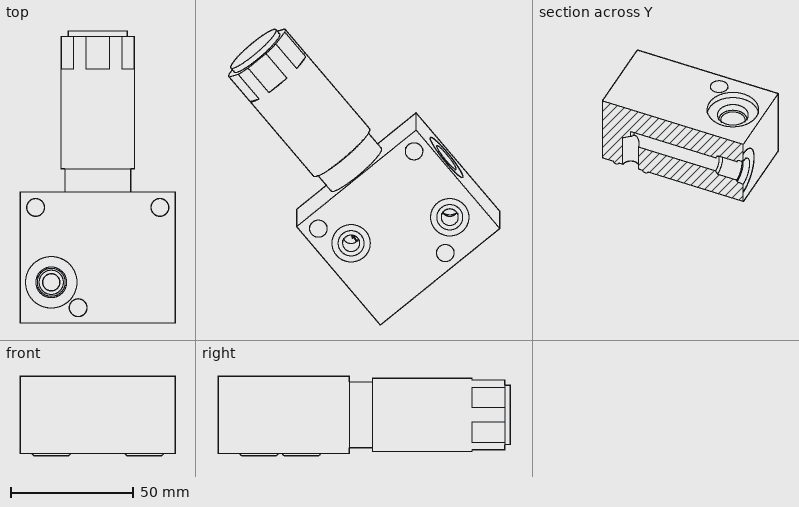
import cadquery as cq
import math

block_width = 63.5
block_length = 53.7
block_height = 31.7
top_z = block_height / 2
bottom_z = -block_height / 2
left_x = -block_width / 2

total_length = 119.6
neck_diameter = 27.0
neck_length = 9.5
sleeve_diameter = 30.1
cap_diameter = 24.3
cap_length = 2.3
sleeve_length = total_length - block_length - neck_length - cap_length
hex_across_flats = 28.6
hex_flat_length = 13.4
hex_sides = 6

mount_diameter = 7.2
mount_edge = 6.3
third_mount_x = -8.0
mount_points = [
    (left_x + mount_edge, -mount_edge),
    (-left_x - mount_edge, -mount_edge),
    (third_mount_x, mount_edge - block_length),
]

spotface_diameter = 21.0
seat_diameter = 12.6
taper_depth = 2.6
taper_angle = 12
lead_in_depth = 0.2
bore_diameter = 9.9
bore_depth = 11.5
passage_diameter = 6.9
drill_point_angle = 118
top_spotface_depth = 2.9
side_spotface_depth = 0.1

port_offset_x = 19.0
top_port_y = -37.0
side_port_y = -19.6
cross_passage_depth = 14.6

ring_radius = 6.6
ring_cord_radius = 1.3
ring_projection = 1.0


def drill_point_depth(drill_radius, end_radius=0.0):
    """Axial length of a drill point between two radii."""
    return (drill_radius - end_radius) / math.tan(math.radians(drill_point_angle / 2))


def plane_along_cartridge(start):
    """Workplane facing +Y at distance start from the block."""
    return cq.Workplane(cq.Plane(origin=(0, start, 0), xDir=(1, 0, 0), normal=(0, 1, 0)))


def make_cylinder(diameter, start, length):
    """Cylinder along +Y, beginning at distance start from the block."""
    return plane_along_cartridge(start).circle(diameter / 2).extrude(length)


def make_cartridge():
    """Neck, sleeve with wrench flats at its outer end, and end cap."""
    flats_start = neck_length + sleeve_length - hex_flat_length
    neck = make_cylinder(neck_diameter, 0, neck_length)
    sleeve = make_cylinder(sleeve_diameter, neck_length, sleeve_length)
    cap = make_cylinder(cap_diameter, neck_length + sleeve_length, cap_length)
    hex_corner_diameter = hex_across_flats / math.cos(math.pi / hex_sides)
    hexagon = (
        plane_along_cartridge(flats_start)
        .polygon(hex_sides, hex_corner_diameter)
        .extrude(hex_flat_length)
    )
    outside_flats = make_cylinder(sleeve_diameter, flats_start, hex_flat_length).cut(hexagon)
    return neck.union(sleeve.cut(outside_flats)).union(cap)


def make_port(spotface_depth, passage_end):
    """Port cutter along -Z from the face at Z = 0, with its passage ending at depth passage_end."""
    seat_radius = seat_diameter / 2
    bore_radius = bore_diameter / 2
    passage_radius = passage_diameter / 2
    taper_end_radius = seat_radius - taper_depth * math.tan(math.radians(taper_angle))
    taper_end = spotface_depth + taper_depth
    bore_end = spotface_depth + bore_depth
    point_end = bore_end + drill_point_depth(bore_radius, passage_radius)
    return (
        cq.Workplane("XZ")
        .moveTo(0, 0)
        .lineTo(spotface_diameter / 2, 0)
        .lineTo(spotface_diameter / 2, -spotface_depth)
        .lineTo(seat_radius, -spotface_depth)
        .lineTo(taper_end_radius, -taper_end)
        .lineTo(bore_radius, -taper_end - lead_in_depth)
        .lineTo(bore_radius, -bore_end)
        .lineTo(passage_radius, -point_end)
        .lineTo(passage_radius, -passage_end)
        .lineTo(0, -passage_end)
        .close()
        .revolve(360, (0, 0), (0, 1))
    )


def make_cross_passage():
    """Blind drilled hole rising from the underside to meet the side port."""
    passage_radius = passage_diameter / 2
    return (
        cq.Workplane("XZ")
        .moveTo(0, -ring_projection)
        .lineTo(passage_radius, -ring_projection)
        .lineTo(passage_radius, cross_passage_depth)
        .lineTo(0, cross_passage_depth + drill_point_depth(passage_radius))
        .close()
        .revolve(360, (0, 0), (0, 1))
        .translate((port_offset_x, side_port_y, bottom_z))
    )


def make_seal_ring(x, y):
    """Round-cord ring partly sunk into the underside."""
    cord_z = bottom_z - ring_projection + ring_cord_radius
    return (
        cq.Workplane("XZ")
        .center(ring_radius, 0)
        .circle(ring_cord_radius)
        .revolve(360, (-ring_radius, 0), (-ring_radius, 1))
        .translate((x, y, cord_z))
    )


block = (
    cq.Workplane("XY")
    .box(block_width, block_length, block_height)
    .translate((0, -block_length / 2, 0))
)
mount_holes = (
    cq.Workplane("XY")
    .workplane(offset=bottom_z)
    .pushPoints(mount_points)
    .circle(mount_diameter / 2)
    .extrude(block_height)
)

top_port = make_port(top_spotface_depth, block_height).translate((-port_offset_x, top_port_y, top_z))

side_port = (
    make_port(side_spotface_depth, port_offset_x - left_x)
    .rotate((0, 0, 0), (0, 1, 0), -90)
    .translate((left_x, side_port_y, 0))
)

result = block.union(make_cartridge())
for x, y in [(-port_offset_x, top_port_y), (port_offset_x, side_port_y)]:
    result = result.union(make_seal_ring(x, y))
side_passages = side_port.union(make_cross_passage())
for cutter in (mount_holes, top_port, side_passages):
    result = result.cut(cutter)